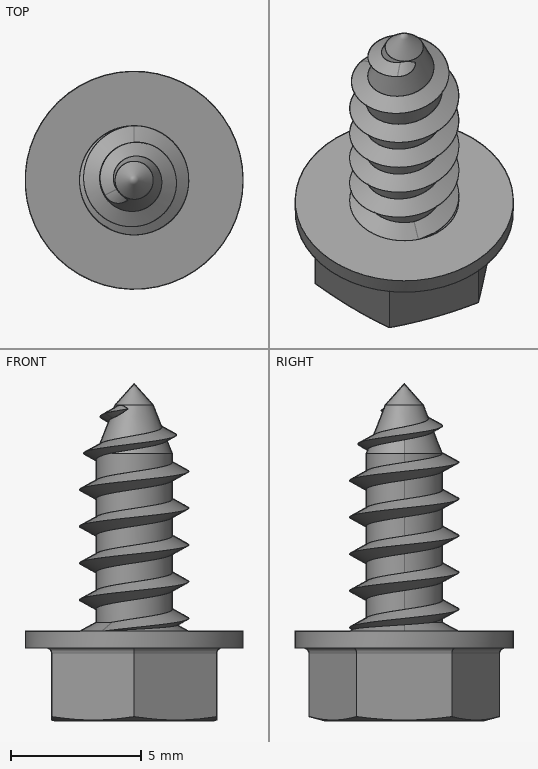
import cadquery as cq
import math

total_length = 12.95

across_flats = 6.35
across_corners = across_flats / math.cos(math.radians(30))
hex_height = 2.8
neck_fillet = 0.2
end_chamfer_radius = 3.04
end_chamfer_angle = 15.0

flange_diameter = 8.38
flange_top = 3.45

core_radius = 1.46
taper_start = 10.27
tip_base = 12.13
tip_radius = core_radius / 2

crest_radius = 2.1
pitch = 1.41
flank_slope = 0.54
start_angle = 234.0
straight_turns = 4.6
taper_turns = 1.325
runout_turns = 0.14
taper_end_crest = 1.25
runout_end_crest = 0.69
root_overlap = 0.13
taper_end_root = 0.65
runout_end_root = 0.52
points_per_turn = 24


def make_head():
    """Chamfered hexagon, rounded into a round flange."""
    hexagon = (
        cq.Workplane("XY")
        .polygon(6, across_corners)
        .extrude(hex_height)
        .rotate((0, 0, 0), (0, 0, 1), 30)
    )
    flange = (
        cq.Workplane("XY")
        .workplane(offset=hex_height)
        .circle(flange_diameter / 2)
        .extrude(flange_top - hex_height)
    )
    head = hexagon.union(flange)
    margin = 0.13
    inner = flange_diameter / 2 - margin
    neck_box = cq.selectors.BoxSelector(
        (-inner, -inner, hex_height - margin),
        (inner, inner, hex_height + margin),
    )
    head = head.edges("#Z").edges(neck_box).edges("%LINE").fillet(neck_fillet)

    outer_radius = flange_diameter / 2
    chamfer_rise = (outer_radius - end_chamfer_radius) * math.tan(math.radians(end_chamfer_angle))
    chamfer_cutter = (
        cq.Workplane("XZ")
        .moveTo(end_chamfer_radius, 0)
        .lineTo(outer_radius, 0)
        .lineTo(outer_radius, chamfer_rise)
        .close()
        .revolve(360, (0, 0, 0), (0, 1, 0))
    )
    return head.cut(chamfer_cutter)


def make_core():
    """Plain shank with a tapered nose, a pointed tip and a conical collar at the flange."""
    collar_height = flank_slope * (crest_radius - core_radius)
    return (
        cq.Workplane("XZ")
        .moveTo(0, hex_height)
        .lineTo(crest_radius, hex_height)
        .lineTo(crest_radius, flange_top)
        .lineTo(core_radius, flange_top + collar_height)
        .lineTo(core_radius, taper_start)
        .lineTo(tip_radius, tip_base)
        .lineTo(0, total_length)
        .close()
        .revolve(360, (0, 0, 0), (0, 1, 0))
    )


def thread_section(turn, crest, root):
    """Crest, upper root and lower root points of the thread after a number of turns."""
    angle = math.radians(start_angle + 360 * turn)
    crest_z = flange_top + pitch * turn
    half_width = flank_slope * (crest - root)
    corners = [(crest, crest_z), (root, crest_z + half_width), (root, crest_z - half_width)]
    return [cq.Vector(r * math.cos(angle), r * math.sin(angle), z) for r, z in corners]


def thread_stretch(first_turn, turns, crest_ends, root_ends, power=1):
    """Sections along one stretch, with radii changing as a power of the travel."""
    count = max(6, math.ceil(turns * points_per_turn))
    sections = []
    for i in range(count + 1):
        travel = i / count
        blend = travel ** power
        crest = crest_ends[0] + (crest_ends[1] - crest_ends[0]) * blend
        root = root_ends[0] + (root_ends[1] - root_ends[0]) * blend
        sections.append(thread_section(first_turn + turns * travel, crest, root))
    return sections


def make_thread():
    """Triangular thread: straight, then tapering with the nose, then fading into it."""
    straight_root = core_radius - root_overlap
    taper_end = straight_turns + taper_turns
    stretches = [
        thread_stretch(0, straight_turns, (crest_radius, crest_radius), (straight_root, straight_root)),
        thread_stretch(
            straight_turns, taper_turns, (crest_radius, taper_end_crest), (straight_root, taper_end_root)
        ),
        thread_stretch(
            taper_end, runout_turns, (taper_end_crest, runout_end_crest), (taper_end_root, runout_end_root), 2
        ),
    ]
    faces = []
    for sections in stretches:
        rails = [cq.Edge.makeSpline(list(points)) for points in zip(*sections)]
        for i in range(3):
            faces.append(cq.Face.makeRuledSurface(rails[i], rails[(i + 1) % 3]))
    for section in (stretches[0][0], stretches[-1][-1]):
        faces.append(cq.Face.makeFromWires(cq.Wire.makePolygon(section, close=True)))
    shell = cq.Shell.makeShell(faces)
    return cq.Workplane(cq.Solid.makeSolid(shell).fix())


result = make_head().union(make_core()).union(make_thread())